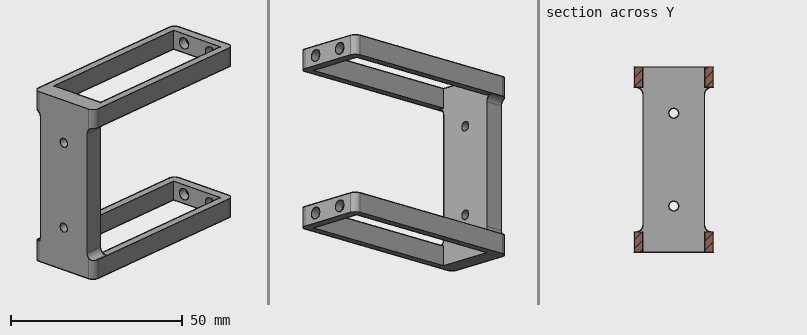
import cadquery as cq

WIDTH = 23.0
LENGTH = 62.0
HEIGHT = 54.0

RING_HEIGHT = 6.0
SIDE_WALL = 2.5
FRONT_WALL = 6.0
BACK_WALL = 3.0
CORNER_RADIUS = 2.0

PLATE_WIDTH = WIDTH - 2 * SIDE_WALL
PLATE_FILLET = 2.0

FRONT_HOLE_DIAMETER = 2.8
FRONT_HOLE_SPACING = 27.0
BACK_HOLE_DIAMETER = 3.5
BACK_HOLE_SPACING = 10.0

FRONT_Y = -LENGTH / 2
BACK_Y = LENGTH / 2
RING_CENTER_Z = (HEIGHT - RING_HEIGHT) / 2
GAP_HEIGHT = HEIGHT - 2 * RING_HEIGHT


def outer_block():
    """Full envelope with rounded upright corners."""
    return cq.Workplane("XY").box(WIDTH, LENGTH, HEIGHT).edges("|Z").fillet(CORNER_RADIUS)


def ring_opening():
    """Vertical opening through both rings."""
    opening_length = LENGTH - FRONT_WALL - BACK_WALL
    center_y = (FRONT_WALL - BACK_WALL) / 2
    return cq.Workplane("XY").box(PLATE_WIDTH, opening_length, HEIGHT).translate((0, center_y, 0))


def rear_gap():
    """Space between the rings behind the front plate."""
    gap_length = LENGTH - FRONT_WALL
    return cq.Workplane("XY").box(WIDTH, gap_length, GAP_HEIGHT).translate((0, FRONT_WALL / 2, 0))


def side_notch(side):
    """Recess beside the front plate, rounded where the plate meets the rings."""
    plate_x = side * PLATE_WIDTH / 2
    round_end_x = plate_x + side * PLATE_FILLET
    outside_x = side * WIDTH / 2
    ring_z = GAP_HEIGHT / 2
    straight_z = ring_z - PLATE_FILLET
    round_inset = PLATE_FILLET * (1 - 0.5 ** 0.5)
    mid_x = plate_x + side * round_inset
    mid_z = ring_z - round_inset
    return (
        cq.Workplane("XZ", origin=(0, FRONT_Y, 0))
        .moveTo(outside_x, -ring_z)
        .lineTo(round_end_x, -ring_z)
        .threePointArc((mid_x, -mid_z), (plate_x, -straight_z))
        .lineTo(plate_x, straight_z)
        .threePointArc((mid_x, mid_z), (round_end_x, ring_z))
        .lineTo(outside_x, ring_z)
        .close()
        .extrude(-FRONT_WALL)
    )


def wall_holes(front_y, depth, diameter, centers):
    """Round holes running toward +Y from front_y at the given (x, z) centers."""
    return (
        cq.Workplane("XZ", origin=(0, front_y, 0))
        .pushPoints(centers)
        .circle(diameter / 2)
        .extrude(-depth)
    )


front_centers = [(0, sign * FRONT_HOLE_SPACING / 2) for sign in (-1, 1)]
back_centers = [
    (x_sign * BACK_HOLE_SPACING / 2, z_sign * RING_CENTER_Z)
    for x_sign in (-1, 1)
    for z_sign in (-1, 1)
]

result = outer_block().cut(ring_opening()).cut(rear_gap())
for side in (-1, 1):
    result = result.cut(side_notch(side))
result = result.cut(wall_holes(FRONT_Y, FRONT_WALL, FRONT_HOLE_DIAMETER, front_centers))
result = result.cut(wall_holes(BACK_Y - BACK_WALL, BACK_WALL, BACK_HOLE_DIAMETER, back_centers))